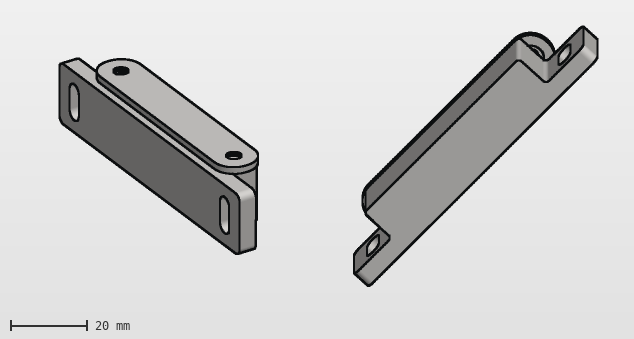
import cadquery as cq

flange_length = 87.0
flange_thickness = 5.05
flange_height = 18.0
flange_corner_radius = 2.0
slot_width = 4.4
slot_height = 10.7
slot_inset = 7.2

depth = 15.0
block_length = 58.6
block_edge_radius = 1.05

plate_length = 67.0
plate_width = 12.5
plate_thickness = 2.0
plate_corner_radius = 6.0
hole_diameter = 4.0
hole_spacing = 54.5
recess_diameter = 7.0
recess_depth = 1.4

slot_spacing = flange_length - 2 * slot_inset
block_depth = depth - flange_thickness


def make_flange():
    """Upright flange with rounded corners and two vertical mounting slots."""
    flange = (
        cq.Workplane("XY")
        .box(flange_length, flange_thickness, flange_height, centered=(True, False, False))
        .edges("|Y")
        .fillet(flange_corner_radius)
    )
    slots = (
        cq.Workplane("XZ", origin=(0, 0, flange_height / 2))
        .pushPoints([(-slot_spacing / 2, 0), (slot_spacing / 2, 0)])
        .slot2D(slot_height, slot_width, angle=90)
        .extrude(-flange_thickness)
    )
    return flange.cut(slots)


def make_block():
    """Block with rounded rear edges and concave fillets where it meets the flange."""
    half_length = block_length / 2
    radius = block_edge_radius
    block = (
        cq.Workplane("XY", origin=(0, flange_thickness, 0))
        .box(block_length, block_depth, flange_height, centered=(True, False, False))
        .edges("|Z and >Y")
        .fillet(radius)
    )
    for side in (-1, 1):
        end = side * half_length
        outer = end + side * radius
        root_fillet = (
            cq.Workplane("XY")
            .moveTo(end, flange_thickness)
            .lineTo(outer, flange_thickness)
            .radiusArc((end, flange_thickness + radius), side * radius)
            .close()
            .extrude(flange_height)
        )
        block = block.union(root_fillet)
    return block


def make_cover_plate():
    """Flat plate with large rounded corners and two holes that widen at the underside."""
    hole_points = [(-hole_spacing / 2, 0), (hole_spacing / 2, 0)]
    underside = cq.Workplane("XY", origin=(0, depth - plate_width / 2, flange_height))
    plate = (
        underside.box(plate_length, plate_width, plate_thickness, centered=(True, True, False))
        .edges("|Z")
        .fillet(plate_corner_radius)
    )
    holes = underside.pushPoints(hole_points).circle(hole_diameter / 2).extrude(plate_thickness)
    recesses = underside.pushPoints(hole_points).circle(recess_diameter / 2).extrude(recess_depth)
    return plate.cut(holes).cut(recesses)


bracket = make_flange().union(make_block())
cover_plate = make_cover_plate()

result = cq.Compound.makeCompound([bracket.val(), cover_plate.val()])